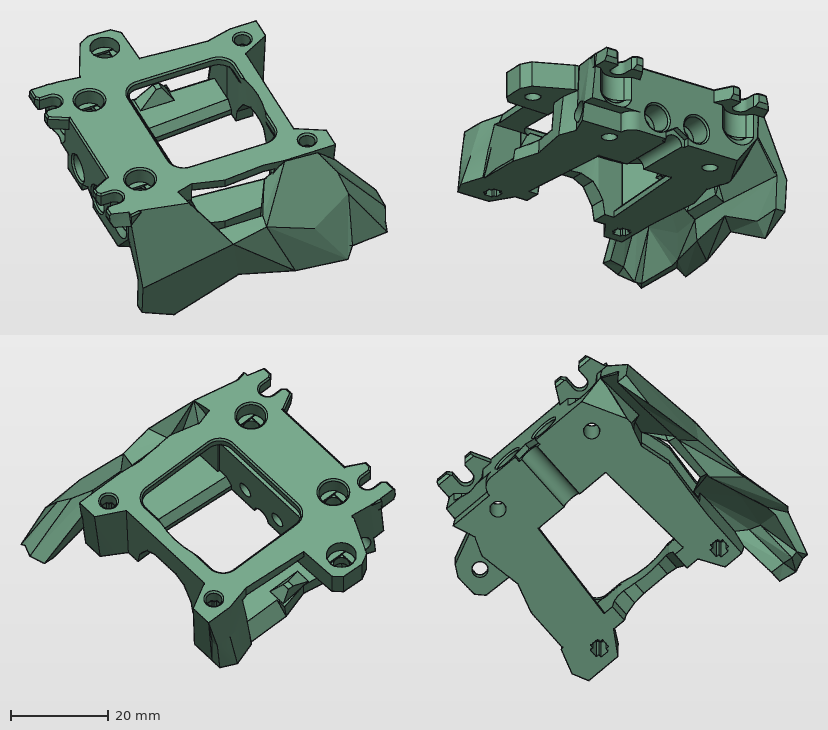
import cadquery as cq


height = 14.6
plate_bottom = 12.8
tab_bottom = 11.6
lug_bottom = 9.1
rail_top = 2.85
hump_top = 5.55
window_rear = 37.1
window_start = 9.55
front_wall_back = 15.15
rim_chamfer = 0.4
screw_hole = 3.3
through = 38.15

left_bottom = [(-21.9, 0), (-22.05, 2.55), (-20.15, 7.45), (-21.7, 11.45), (-20.0, 20.8), (-21.95, 27.2),
               (-22.1, 37.15), (-20.0, 42.55), (-20.0, 45.9)]
left_top = [(-20.35, 0), (-20.2, 2.55), (-19.65, 7), (-19.85, 11.45), (-19.7, 20.8), (-19.2, 27.2),
            (-18.65, 35.35), (-20.0, 40.95), (-20.0, 46.85)]
rear_bottom = [(-14.55, 45.9), (-11.45, 40.95), (11.45, 40.95), (14.55, 45.9)]
rear_top = [(-15.25, 46.85), (-12.1, 40.95), (12.1, 40.95), (15.25, 46.85)]
right_bottom = [(19.1, 45.9), (19.1, 35.4), (19.4, 30.8), (20.15, 21.9), (18.4, 15.2), (19.4, 11.65),
                (19.95, 10.2), (19.95, 0)]
right_top = [(19.9, 46.85), (19.9, 35.4), (19.4, 30.8), (20.15, 21.9), (18.4, 15.2), (19.4, 11.65),
             (23.35, 12.4), (20.7, 0)]

pillar_bottom = [(-15.9, 37.15), (-22.4, 37.15), (-24.1, 42.55), (-22.45, 45.9), (-15.9, 45.9)]
pillar_waist = [(-15.9, 37.15), (-21, 37.15), (-21.7, 42.4), (-21.7, 45.9), (-15.9, 45.9)]
pillar_top = [(-15.9, 35.35), (-18.65, 35.35), (-20.0, 40.95), (-20.0, 46.85), (-15.9, 46.85)]
waist = 7.0

opening_width = 26.7
opening_length = 23.5
opening_y = 25.55
opening_corner = 3.3
cavity_front = 14.6
cavity_rear = 37.15
rear_half_width = 10.75
front_half_width = 9.15
rail_bevel = 1.65
rail_bevel_bottom = 1.3
upper_half_width = 12.85

tunnel_diameter = 4.2
house_depth = 1.3
recess_end_x = -9.4
recess_depth = 2.75
recess_height = 4.25

front_bores = [(-12.7, 6.1), (12.7, 6.1)]
rear_holes = [(-16.3, 42.1), (16.3, 42.1)]
lug_hole = (-25.5, 15.25)
front_bore_diameter = 6.0
front_bore_depth = 3.8
lug_bore_diameter = 6.1
lug_bore_depth = 2.85
rear_hole_depth = 3.2
cross_arm = 1.9
step = 0.25
wall_hole_x = 4.95
wall_hole_z = 4.25
wall_bore_diameter = 5.8
wall_bore_depth = 5.1
side_bore_diameter = 4.5
side_bore_length = 7.6
side_bore_start = (-25.45, 5.7, 3.5)
bar_hole_length = 19.1

notch_x = 15.45
notch_width = 3.4
notch_end_y = 0.8
tab_front = -3.95
tab_back = 3.2
mouth_flare = 0.8
tab_root = 9.35
tab_tip = 11.45
tab_nose_chamfer = (0.6, 1.0)


def ruled_body(bottom, top, z_bottom, z_top):
    """Straight-sided body between two outlines with the same number of corners."""
    wires = [cq.Wire.makePolygon([cq.Vector(x, y, z) for x, y in outline], close=True)
             for outline, z in ((bottom, z_bottom), (top, z_top))]
    return cq.Workplane(cq.Solid.makeLoft(wires, True))


def prism(outline, z_bottom, z_top):
    return cq.Workplane().workplane(offset=z_bottom).polyline(outline).close().extrude(z_top - z_bottom)


def side_prism(outline, x_start, x_end):
    """Prism along X from an outline of (Y, Z) points."""
    return cq.Workplane("YZ", origin=(x_start, 0, 0)).polyline(outline).close().extrude(x_end - x_start)


def front_prism(outline, y_start, y_end):
    """Prism along Y from an outline of (X, Z) points."""
    return cq.Workplane("XZ", origin=(0, y_start, 0)).polyline(outline).close().extrude(y_start - y_end)


def cylinder(diameter, length, start, direction):
    return cq.Workplane(cq.Solid.makeCylinder(diameter / 2, length, cq.Vector(*start), cq.Vector(*direction)))


def countersink(diameter, depth, start, direction):
    """45 degree cone that opens a hole rim by the given depth."""
    radius = diameter / 2
    cone = cq.Solid.makeCone(radius + depth, radius, depth, cq.Vector(*start), cq.Vector(*direction))
    return cq.Workplane(cone)


def faceted_shell(facets, outer, inner):
    """Solid between two faceted skins whose named corners match; rims are closed."""
    triangles = []
    edges = []
    for facet in facets:
        for second, third in zip(facet[1:], facet[2:]):
            names = (facet[0], second, third)
            triangles.append([outer[n] for n in names])
            triangles.append([inner[n] for n in reversed(names)])
        edges += zip(facet, facet[1:] + facet[0])
    for start, end in edges:
        if (end, start) not in edges:
            triangles.append([outer[start], inner[start], outer[end]])
            triangles.append([outer[end], inner[start], inner[end]])
    faces = []
    for corners in triangles:
        wire = cq.Wire.makePolygon([cq.Vector(*c) for c in corners], close=True)
        faces.append(cq.Face.makeFromWires(wire))
    solid = cq.Solid.makeSolid(cq.Shell.makeShell(faces))
    return cq.Workplane(solid.fix())


def rounded_opening(z_bottom, z_top, widening):
    """Cutter for the central opening; it widens evenly by the given amount toward its top."""
    sketches = []
    for z, grow in ((z_bottom, 0), (z_top, widening)):
        sketch = cq.Sketch().rect(opening_width + 2 * grow, opening_length + 2 * grow)
        sketch = sketch.vertices().fillet(opening_corner + grow)
        sketches.append(sketch.moved(cq.Location(cq.Vector(0, opening_y, z))))
    return cq.Workplane().placeSketch(*sketches).loft(ruled=True)


def frame():
    bottom = left_bottom + rear_bottom + right_bottom
    top = left_top + rear_top + right_top
    body = ruled_body(bottom, top, 0, height)
    body = body.union(ruled_body(pillar_bottom, pillar_waist, 0, waist))
    body = body.union(ruled_body(pillar_waist, pillar_top, waist, height))

    left_window = [(front_wall_back, rail_top), (window_rear, rail_top), (window_rear, plate_bottom),
                   (front_wall_back, plate_bottom)]
    right_window = [(front_wall_back, rail_top), (29.9, rail_top), (33.4, plate_bottom),
                    (front_wall_back, plate_bottom)]
    body = body.cut(side_prism(left_window, -through, -window_start))
    body = body.cut(side_prism(right_window, window_start, through))

    pillar_face = [(window_start, cavity_rear), (12.7, cavity_rear), (19.7, 32.1), (19.7, 25.45), (window_start, 25.45)]
    body = body.cut(prism(pillar_face, rail_top, plate_bottom))

    rail_slope = front_prism([(-19.1, rail_top), (-25.45, rail_top), (-25.45, 0), (-21.95, 0)], 27.2, window_rear)
    body = body.cut(rail_slope)

    hump_base = [(-20.65, 26.9), (-16.55, 26.9), (-16.55, 19.3), (-19.9, 19.3)]
    hump_crest = [(-20.0, 24.9), (-18.45, 24.9), (-18.45, 23.65), (-20.0, 23.65)]
    body = body.union(ruled_body(hump_base, hump_crest, rail_top, hump_top))

    def cavity(rear_half, front_half):
        return [(-front_half, cavity_front), (front_half, cavity_front),
                (rear_half, cavity_rear), (-rear_half, cavity_rear)]

    lower = cavity(rear_half_width, front_half_width)
    bevel_top = cavity(rear_half_width + rail_bevel, front_half_width + rail_bevel)
    body = body.cut(prism(lower, -0.65, rail_top))
    body = body.cut(ruled_body(lower, bevel_top, rail_bevel_bottom, rail_top))
    body = body.cut(prism(cavity(upper_half_width, upper_half_width), rail_top, plate_bottom))

    opening = rounded_opening(plate_bottom, height, 0)
    rim = rounded_opening(height - rim_chamfer, height, rim_chamfer)
    arc = cq.Workplane().moveTo(-7.6, 36.9).threePointArc((0, 38.3), (7.6, 36.9)).close().extrude(height)
    body = body.cut(opening).cut(arc).cut(rim)

    arch = [(-8.6, -0.65), (-7.95, 3.2), (-5.7, 7), (-3.2, 8.25), (3.2, 8.25), (5.7, 7), (7.95, 3.2), (8.6, -0.65)]
    return body.cut(front_prism(arch, 31.8, 44.5))


def lug():
    outline = [(-17.8, 7), (-20.55, 7.3), (-28.7, 11.1), (-30.0, 13.55), (-29.8, 18.5), (-28.2, 20.2),
               (-20.0, 20.5), (-17.8, 20.5)]
    return prism(outline, lug_bottom, height)


def tab(side, outer, outer_back):
    """Slotted tab; side is -1 on the left and 1 on the right."""
    half = notch_width / 2
    center_y = notch_end_y - half
    profile = (cq.Workplane().workplane(offset=tab_bottom)
               .moveTo(tab_root, 0).lineTo(tab_tip, tab_front).lineTo(notch_x - half - mouth_flare, tab_front)
               .lineTo(notch_x - half, tab_front + mouth_flare).lineTo(notch_x - half, center_y)
               .threePointArc((notch_x, notch_end_y), (notch_x + half, center_y))
               .lineTo(notch_x + half, tab_front + mouth_flare)
               .lineTo(notch_x + half + mouth_flare, tab_front)
               .lineTo(outer, tab_front).lineTo(outer, 0)
               .lineTo(outer_back, tab_back).lineTo(tab_root, tab_back).close())
    solid = profile.extrude(height - tab_bottom)
    solid = solid.faces(">Z").edges("not >Y").chamfer(rim_chamfer)
    solid = solid.faces("<Z").edges("<Y").chamfer(*tab_nose_chamfer)
    if side < 0:
        solid = solid.mirror("YZ")
    return solid


def tab_slope(side, front_low, base_low, front_high, base_high):
    """Stock beyond the sloped outer side of a tab, given X at the tab's lower and upper face."""
    front = tab_front - 0.65
    outlines = [[(side * x, y) for x, y in ((front_x, front), (base_x, 0), (28.6, 0), (28.6, front))]
                for front_x, base_x in ((front_low, base_low), (front_high, base_high))]
    return ruled_body(*outlines, tab_bottom, height)


def notch_room(side):
    """Clears the front bar behind a tab notch before the tab is added."""
    length = notch_end_y + 0.65
    room = cq.Workplane().box(1.5 * notch_width, length, height)
    return room.translate((side * notch_x, length / 2, tab_bottom + height / 2))


def screw_groove(side):
    """Upright groove in the front wall under a notch, with a conical floor and a flared mouth."""
    radius = 3.8
    axis_y = -1.6
    floor = 6.4
    mouth_depth = 1.0
    groove = (cq.Workplane("XZ").moveTo(0, floor - radius).lineTo(radius, floor)
              .lineTo(radius, tab_bottom).lineTo(0, tab_bottom).close()
              .revolve(360, (0, 0), (0, 1)).translate((0, axis_y, 0)))
    sections = []
    for y, half, drop in ((0, 3.95, 2.7), (mouth_depth, 2.8, 1.2)):
        wire = (cq.Workplane("XZ", origin=(0, y, 0)).moveTo(-half, tab_bottom).lineTo(-half, floor)
                .threePointArc((0, floor - drop), (half, floor)).lineTo(half, tab_bottom).close())
        sections.append(wire.val())
    mouth = cq.Workplane(cq.Solid.makeLoft(sections, True))
    return groove.union(mouth).translate((side * notch_x, 0, 0))


def stepped_bore(x, y, diameter, depth):
    """Counterbore with slot and square bridging steps above its clearance hole."""
    floor = height - depth
    cutter = cylinder(diameter, depth, (x, y, floor), (0, 0, 1))
    slot = cq.Workplane().box(screw_hole, diameter, step).translate((x, y, floor - step / 2))
    cutter = cutter.union(slot.intersect(cylinder(diameter, height, (x, y, 0), (0, 0, 1))))
    square = cq.Workplane().box(screw_hole, screw_hole, 2 * step).translate((x, y, floor - step))
    return cutter.union(square).union(cylinder(screw_hole, through, (x, y, -0.65), (0, 0, 1)))


def cross_hole(x, y):
    """Round hole that narrows to a cross-shaped passage."""
    cutter = cylinder(screw_hole, rear_hole_depth, (x, y, height), (0, 0, -1))
    arms = cq.Workplane().box(screw_hole, cross_arm, through).union(
        cq.Workplane().box(cross_arm, screw_hole, through))
    return cutter.union(arms.translate((x, y, height - rear_hole_depth - through / 2)))


def wall_hole(x):
    start = (x, 0, wall_hole_z)
    cutter = cylinder(wall_bore_diameter, wall_bore_depth, start, (0, 1, 0))
    cutter = cutter.union(cylinder(screw_hole, bar_hole_length, start, (0, 1, 0)))
    return cutter.union(countersink(wall_bore_diameter, rim_chamfer, start, (0, 1, 0)))


def cable_notch():
    """House-shaped pocket in the front wall with a half-round tunnel through the front bar."""
    house = [(-2.8, -0.65), (-2.8, 1.7), (0, 3.4), (2.8, 1.7), (2.8, -0.65)]
    tunnel = cylinder(tunnel_diameter, bar_hole_length, (0, 0, 0), (0, 1, 0))
    return front_prism(house, 0, house_depth).union(tunnel)


def corner_recess():
    """Low recess along the left half of the front wall, rounded where it ends."""
    inner_end = (recess_end_x - recess_depth, recess_depth)
    return (cq.Workplane().moveTo(-25.45, 0).lineTo(recess_end_x, 0).radiusArc(inner_end, recess_depth)
            .lineTo(-25.45, recess_depth).close().extrude(recess_height))


def on_plane(x, y, p, q, r):
    """Point above (x, y) on the plane through p, q and r."""
    origin = cq.Vector(*p)
    normal = (cq.Vector(*q) - origin).cross(cq.Vector(*r) - origin)
    z = origin.z - (normal.x * (x - origin.x) + normal.y * (y - origin.y)) / normal.z
    return (x, y, z)


outer_skin = {
    "A": (20.7, 0, 14.6), "B": (23.35, 12.4, 14.6), "D": (27.8, 0, -0.95), "E": (27.35, 0, -8.25),
    "T": (27.5, 7.1, -11.65), "U": (28.8, 21.1, -4.45), "W": (31.15, 32.8, -6.0), "V": (33.6, 43.55, -4.85),
    "H": (30.0, 37.65, 3.2), "I": (27.7, 27.85, 5.55), "F": (24.35, 18.45, 5.55), "G": (24.35, 28.5, 5.55),
    "J": (20.15, 35.3, 14.6), "N": (19.4, 46.85, 10.0),
    "O": (32.4, 45.1, -2.55), "P": (29.9, 54.05, -4.45), "Q": (28.3, 54.4, -2.85), "R": (21.2, 55.4, -0.65),
}
outer_skin["C"] = on_plane(29.2, 19.7, *[outer_skin[n] for n in "ABD"])
for name, x, y in (("K", 20.5, 42.6), ("L", 23.85, 45.6), ("M", 27.0, 46.6)):
    outer_skin[name] = on_plane(x, y, *[outer_skin[n] for n in "JIH"])
outer_skin["S"] = on_plane(25.25, 55.8, *[outer_skin[n] for n in "LMQ"])
inner_skin = {
    "A": (20.5, 0, 6.6), "B": (18.45, 14.95, 10.2), "C": (25.1, 18.45, 0.2), "F": (22.95, 18.3, 1.3),
    "G": (22.95, 28.35, 1.3), "D": (25.3, 0, -0.65), "E": (25.0, 0, -8.25),
    "T": (25.45, 7.1, -8.25), "U": (25.45, 18.6, -2.75), "W": (25.45, 28.3, -4.7),
    "V": (29.9, 41.35, -2.9), "H": (26.7, 36.9, 0.65), "I": (25.1, 28.6, 0.2), "J": (18.45, 31.5, 9.55),
    "K": (18.45, 42.6, 8.9), "L": (22.25, 44.5, 7), "M": (25.1, 44.8, 4.45), "N": (18.75, 44.5, 8.25),
    "O": (30.2, 43.55, -3.2), "P": (28.6, 52.15, -4.45), "Q": (27.0, 52.45, -4.45), "R": (21.2, 52.8, -0.95),
    "S": (24.5, 52.8, -1.6),
}
facets = ["ADCB", "DETUC", "CUWI", "BCF", "FCIG", "IJG",
          "IWVH", "JIHMLK", "KLSRN", "LMQS", "MOPQ", "MHVO"]


body = frame().union(lug()).union(faceted_shell(facets, outer_skin, inner_skin))

front_bevel = [(0, height - rim_chamfer), (0, height), (rim_chamfer, height)]
bevel_half_length = 10.2
body = body.cut(side_prism(front_bevel, -bevel_half_length, bevel_half_length))
undercut_height = 6.6
undercut_base = [(15.25, 0), (25.1, 0), (19.95, 8.9)]
undercut_peak = [(20.5, 0), (20.6, 0), (20.55, 0.1)]
body = body.cut(ruled_body(undercut_base, undercut_peak, 0, undercut_height))

body = body.cut(corner_recess()).cut(cable_notch())
left_slope = tab_slope(-1, 20.7, 20.7, 20.35, 20.35)
right_slope = tab_slope(1, 20.3, 21.95, 19.45, 20.7)
for side, outer, outer_back, slope in ((-1, 20.85, 20.0, left_slope), (1, 21.95, 21.3, right_slope)):
    body = body.cut(notch_room(side))
    body = body.union(tab(side, outer, outer_back).cut(slope))
    body = body.cut(screw_groove(side))

for x, y in front_bores:
    body = body.cut(stepped_bore(x, y, front_bore_diameter, front_bore_depth))
    body = body.cut(countersink(front_bore_diameter, rim_chamfer, (x, y, height), (0, 0, -1)))
body = body.cut(stepped_bore(*lug_hole, lug_bore_diameter, lug_bore_depth))
for x, y in rear_holes:
    body = body.cut(cross_hole(x, y))
    body = body.cut(countersink(screw_hole, rim_chamfer, (x, y, height), (0, 0, -1)))
for x in (-wall_hole_x, wall_hole_x):
    body = body.cut(wall_hole(x))
body = body.cut(cylinder(side_bore_diameter, side_bore_length, side_bore_start, (1, 0, 0)))

result = body.solids()